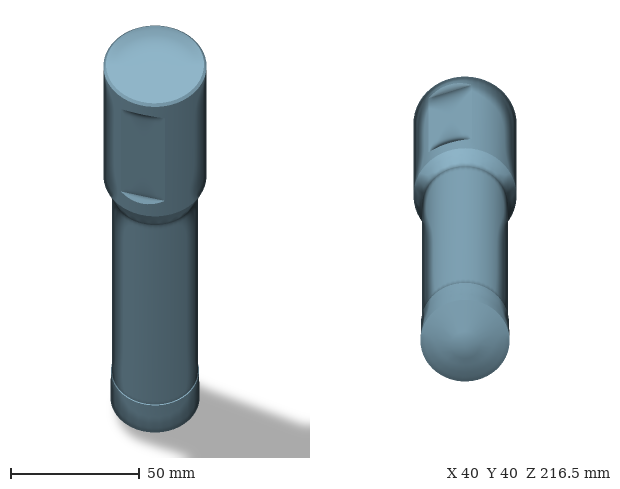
import cadquery as cq
import math

total_length = 216.5
shank_diameter = 40.0
neck_diameter = 33.3

head_bottom_diameter = 34.6
head_top_diameter = 34.2
head_top_z = 23.2
point_angle = 140.0

neck_top_z = 136.6
shank_bottom_z = 146.4
top_chamfer = 1.0

flat_depth = 2.05
flat_length = 52.2
flat_top_offset = 8.7

shank_radius = shank_diameter / 2
neck_radius = neck_diameter / 2
head_bottom_radius = head_bottom_diameter / 2
head_top_radius = head_top_diameter / 2
point_height = head_bottom_radius / math.tan(math.radians(point_angle / 2))


def revolve_profile(points):
    """Turn a closed radius-height outline around the Z axis."""
    return cq.Workplane("XZ").polyline(points).close().revolve(360, (0, 0), (0, 1))


def make_flat_cutter():
    """Trapezoid prism that opens outward from the floor of the clamping flat."""
    floor_y = flat_depth - shank_radius
    outer_y = floor_y - 2 * flat_depth
    slope_run = floor_y - outer_y
    floor_top_z = total_length - flat_top_offset
    floor_bottom_z = floor_top_z - flat_length
    outline = [
        (floor_y, floor_bottom_z),
        (floor_y, floor_top_z),
        (outer_y, floor_top_z + slope_run),
        (outer_y, floor_bottom_z - slope_run),
    ]
    return cq.Workplane("YZ").polyline(outline).close().extrude(shank_radius, both=True)


def make_holder():
    """Neck, conical shoulder and chamfered shank with its clamping flat."""
    turned = revolve_profile([
        (0, head_top_z),
        (neck_radius, head_top_z),
        (neck_radius, neck_top_z),
        (shank_radius, shank_bottom_z),
        (shank_radius, total_length - top_chamfer),
        (shank_radius - top_chamfer, total_length),
        (0, total_length),
    ])
    return turned.cut(make_flat_cutter())


def make_head():
    """Slightly back-tapered cutting head with a conical point."""
    return revolve_profile([
        (0, 0),
        (head_bottom_radius, point_height),
        (head_top_radius, head_top_z),
        (0, head_top_z),
    ])


holder = make_holder()
head = make_head()

result = cq.Compound.makeCompound([holder.val(), head.val()])